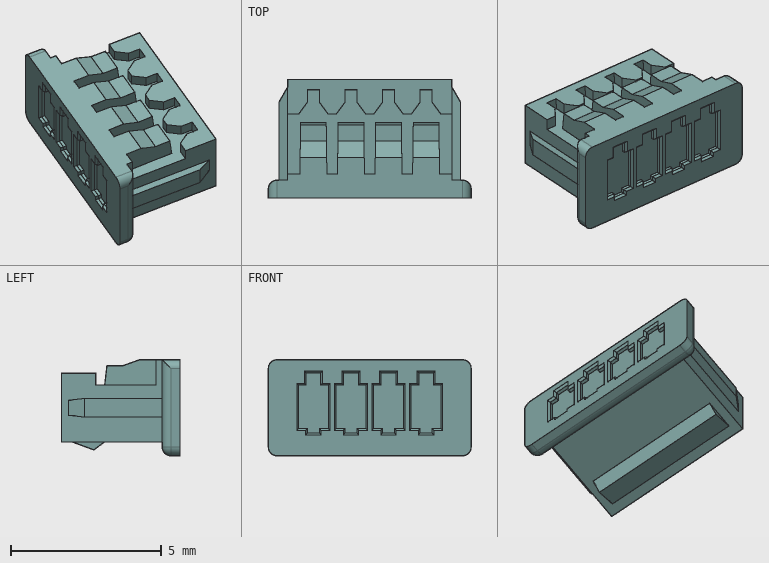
import cadquery as cq

LENGTH = 6.75
DEPTH = 3.95
HEIGHT = 3.2

CONTACT_COUNT = 4
PITCH = 1.25
CONTACT_CENTRES = [(i - (CONTACT_COUNT - 1) / 2) * PITCH for i in range(CONTACT_COUNT)]

FLANGE_THICKNESS = 0.6
FLANGE_RADIUS = 0.3

BODY_WIDTH = 5.455
BODY_BOTTOM = 0.46
FLOOR_Z = 2.36
FRONT_BLOCK_BACK = 0.8
REAR_BLOCK_FRONT = 2.8
REAR_BLOCK_TOP = 2.75

RIB_FRONT_WIDTH = 0.9
RIB_BACK_WIDTH = 0.85
RIB_LOW_Z = 3.005
RIB_SLOPE_FRONT = 1.35
RIB_SLOPE_BACK = 1.9
RIB_TOP_BACK = 2.44
RIB_BASE_BACK = 2.51

NOTCH_BACK = 3.605
NOTCH_BACK_DRAFT = 0.015
NOTCH_NECK_Y = 3.19
NOTCH_NECK_WIDTH = 0.39
NOTCH_MOUTH_WIDTH = 0.97

RAIL_CENTRE_Z = 1.6
RAIL_OUTER_X = 3.025
RAIL_OUTER_HEIGHT = 0.62
RAIL_BASE_HEIGHT = 0.5
RAIL_LEAD_IN_Y = 3.185
RAIL_END_Y = 3.705

LATCH_FRONT = 2.52
LATCH_APEX_Y = 2.87
LATCH_BACK = 3.585
LATCH_TIP_Z = 0.195

POCKET_WIDTH = 1.11
POCKET_BOTTOM = 0.85
POCKET_TOP = 2.41
UPPER_TAB_WIDTH = 0.595
UPPER_TAB_TOP = 2.815
LOWER_TAB_WIDTH = 0.51
LOWER_TAB_BOTTOM = 0.7
POCKET_CHAMFER = 0.055
POCKET_CHAMFER_DEPTH = 0.09
POCKET_DEPTH = 0.195

LATCH_WIDTH = (CONTACT_COUNT - 1) * PITCH + POCKET_WIDTH


def side_prism(points, width):
    """Extrude a (Y, Z) outline symmetrically along X."""
    return cq.Workplane("YZ").polyline(points).close().extrude(width / 2, both=True)


def make_flange():
    """Plate with rounded corners; the rear edge is rounded except along the flat top."""
    plate = (
        cq.Workplane("XY")
        .box(LENGTH, FLANGE_THICKNESS, HEIGHT, centered=(True, False, False))
        .edges("|Y and <Z")
        .fillet(FLANGE_RADIUS)
        .faces(">Y")
        .edges("not >Z")
        .fillet(FLANGE_RADIUS)
    )
    top_rounding = (
        cq.Workplane("XY")
        .box(LENGTH, FLANGE_THICKNESS, HEIGHT, centered=(True, False, False))
        .edges("|Y and >Z")
        .fillet(FLANGE_RADIUS)
    )
    return plate.intersect(top_rounding)


def make_body():
    """Housing with a full-height front block, a sunken floor and a rear block."""
    front = FLANGE_THICKNESS / 2
    outline = [
        (front, BODY_BOTTOM),
        (DEPTH, BODY_BOTTOM),
        (DEPTH, REAR_BLOCK_TOP),
        (REAR_BLOCK_FRONT, REAR_BLOCK_TOP),
        (REAR_BLOCK_FRONT, FLOOR_Z),
        (FRONT_BLOCK_BACK, FLOOR_Z),
        (FRONT_BLOCK_BACK, HEIGHT),
        (front, HEIGHT),
    ]
    return side_prism(outline, BODY_WIDTH)


def make_rib():
    """Stepped rib, slightly narrower toward the rear."""
    profile = side_prism(
        [
            (FRONT_BLOCK_BACK, FLOOR_Z),
            (RIB_BASE_BACK, FLOOR_Z),
            (RIB_TOP_BACK, RIB_LOW_Z),
            (RIB_SLOPE_BACK, RIB_LOW_Z),
            (RIB_SLOPE_FRONT, HEIGHT),
            (FRONT_BLOCK_BACK, HEIGHT),
        ],
        RIB_FRONT_WIDTH,
    )
    taper = (
        cq.Workplane("XY")
        .polyline(
            [
                (-RIB_FRONT_WIDTH / 2, FRONT_BLOCK_BACK),
                (RIB_FRONT_WIDTH / 2, FRONT_BLOCK_BACK),
                (RIB_BACK_WIDTH / 2, RIB_BASE_BACK),
                (-RIB_BACK_WIDTH / 2, RIB_BASE_BACK),
            ]
        )
        .close()
        .extrude(HEIGHT)
    )
    return profile.intersect(taper)


def make_notch():
    """Cutter for a notch that flares toward the ribs; its back wall leans rearward."""
    funnel = (
        cq.Workplane("XY", origin=(0, 0, FLOOR_Z))
        .polyline(
            [
                (-NOTCH_MOUTH_WIDTH / 2, REAR_BLOCK_FRONT),
                (NOTCH_MOUTH_WIDTH / 2, REAR_BLOCK_FRONT),
                (NOTCH_NECK_WIDTH / 2, NOTCH_NECK_Y),
                (NOTCH_NECK_WIDTH / 2, NOTCH_BACK),
                (-NOTCH_NECK_WIDTH / 2, NOTCH_BACK),
                (-NOTCH_NECK_WIDTH / 2, NOTCH_NECK_Y),
            ]
        )
        .close()
        .extrude(REAR_BLOCK_TOP - FLOOR_Z)
    )
    leaning_back = side_prism(
        [
            (REAR_BLOCK_FRONT, FLOOR_Z),
            (NOTCH_BACK - NOTCH_BACK_DRAFT, FLOOR_Z),
            (NOTCH_BACK, REAR_BLOCK_TOP),
            (REAR_BLOCK_FRONT, REAR_BLOCK_TOP),
        ],
        NOTCH_MOUTH_WIDTH,
    )
    return funnel.intersect(leaning_back)


def make_rails():
    """Pair of dovetail rails whose rear ends slope into the body sides."""
    base_x = BODY_WIDTH / 2
    plan = (
        cq.Workplane("XY")
        .polyline(
            [
                (-RAIL_OUTER_X, FLANGE_THICKNESS / 2),
                (RAIL_OUTER_X, FLANGE_THICKNESS / 2),
                (RAIL_OUTER_X, RAIL_LEAD_IN_Y),
                (base_x, RAIL_END_Y),
                (-base_x, RAIL_END_Y),
                (-RAIL_OUTER_X, RAIL_LEAD_IN_Y),
            ]
        )
        .close()
        .extrude(HEIGHT)
    )
    section = (
        cq.Workplane("XZ", origin=(0, DEPTH, 0))
        .polyline(
            [
                (base_x, RAIL_CENTRE_Z - RAIL_BASE_HEIGHT / 2),
                (RAIL_OUTER_X, RAIL_CENTRE_Z - RAIL_OUTER_HEIGHT / 2),
                (RAIL_OUTER_X, RAIL_CENTRE_Z + RAIL_OUTER_HEIGHT / 2),
                (base_x, RAIL_CENTRE_Z + RAIL_BASE_HEIGHT / 2),
            ]
        )
        .close()
        .extrude(DEPTH)
    )
    rail = section.intersect(plan)
    return rail.union(rail.mirror("YZ"))


def make_latch():
    """Wedge under the body, spanning the contact row."""
    outline = [
        (LATCH_FRONT, BODY_BOTTOM),
        (LATCH_APEX_Y, LATCH_TIP_Z),
        (LATCH_BACK, BODY_BOTTOM),
    ]
    return side_prism(outline, LATCH_WIDTH)


def pocket_wire(inset, y):
    """Stepped pocket outline at depth y, moved inward by inset."""
    main = POCKET_WIDTH / 2 - inset
    upper = UPPER_TAB_WIDTH / 2 - inset
    lower = LOWER_TAB_WIDTH / 2 - inset
    right_side = [
        (lower, LOWER_TAB_BOTTOM + inset),
        (lower, POCKET_BOTTOM + inset),
        (main, POCKET_BOTTOM + inset),
        (main, POCKET_TOP - inset),
        (upper, POCKET_TOP - inset),
        (upper, UPPER_TAB_TOP - inset),
    ]
    left_side = [(-x, z) for x, z in reversed(right_side)]
    return cq.Wire.makePolygon([cq.Vector(x, y, z) for x, z in right_side + left_side], close=True)


def make_pocket():
    """Cutter for a blind contact pocket with a chamfered rim."""
    rim = cq.Solid.makeLoft([pocket_wire(0, 0), pocket_wire(POCKET_CHAMFER, POCKET_CHAMFER_DEPTH)], True)
    well_depth = cq.Vector(0, POCKET_DEPTH, 0)
    well = cq.Solid.extrudeLinear(pocket_wire(POCKET_CHAMFER, 0), [], well_depth)
    return cq.Workplane(obj=rim).union(cq.Workplane(obj=well))


rib = make_rib()
notch = make_notch()
pocket = make_pocket()

result = make_flange().union(make_body()).union(make_rails()).union(make_latch())
for centre in CONTACT_CENTRES:
    offset = (centre, 0, 0)
    result = result.union(rib.translate(offset))
    result = result.cut(notch.translate(offset))
    result = result.cut(pocket.translate(offset))